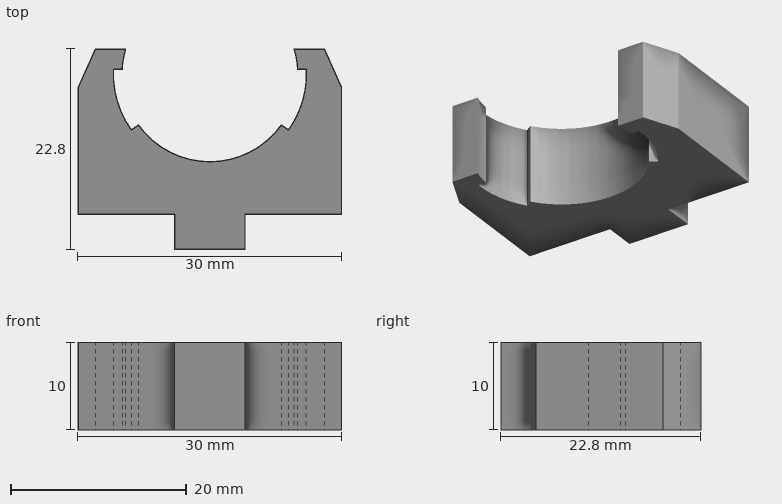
import cadquery as cq
import math

width = 30.0
depth = 22.8
height = 10.0

tab_width = 8.0
tab_depth = 4.0

bore_radius = 10.0
floor_thickness = 6.0
groove_radius = 10.98
groove_top_rise = 0.5
groove_end_angle = 35.5

slope_width = 1.95
slope_length = 4.35

back_y = -bore_radius - floor_thickness
arm_end_y = back_y - tab_depth + depth


def block():
    """Block with its sloped arm corners and its back tab."""
    half_width = width / 2
    half_tab = tab_width / 2
    right_side = [
        (half_tab, back_y - tab_depth),
        (half_tab, back_y),
        (half_width, back_y),
        (half_width, arm_end_y - slope_length),
        (half_width - slope_width, arm_end_y),
    ]
    left_side = [(-x, y) for x, y in reversed(right_side)]
    return cq.Workplane("XY").polyline(right_side + left_side).close().extrude(height)


def bore():
    """Round bore that opens between the ends of the arms."""
    return cq.Workplane("XY").circle(bore_radius).extrude(height)


def groove_cutter(side):
    """Sector of the groove circle; side is 1 for the right wall and -1 for the left."""
    top_angle = math.asin(groove_top_rise / groove_radius)
    end_angle = -math.radians(groove_end_angle)
    middle_angle = (top_angle + end_angle) / 2

    def on_groove(angle):
        return (side * groove_radius * math.cos(angle), groove_radius * math.sin(angle))

    return (
        cq.Workplane("XY")
        .moveTo(0, groove_top_rise)
        .lineTo(*on_groove(top_angle))
        .threePointArc(on_groove(middle_angle), on_groove(end_angle))
        .lineTo(0, 0)
        .close()
        .extrude(height)
    )


result = block().cut(bore())
for side in (-1, 1):
    result = result.cut(groove_cutter(side))